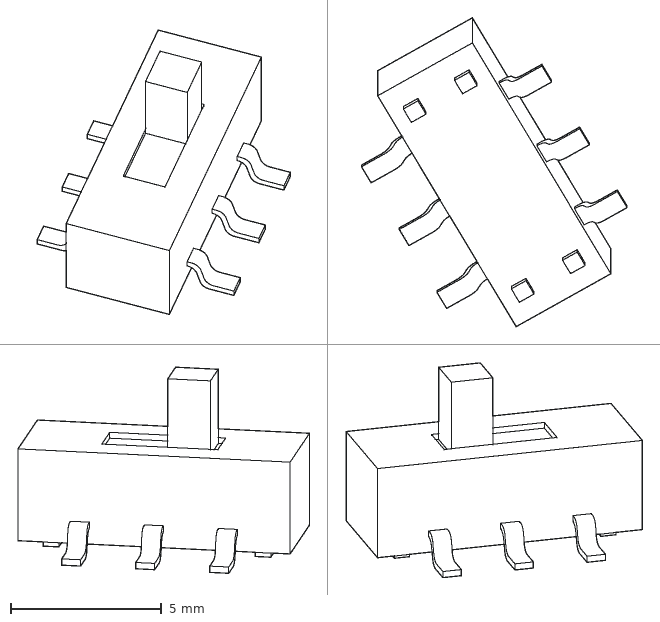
import cadquery as cq
import math


body_width = 3.63
body_length = 9.17
body_bottom = 0.3
body_top = 3.47

overall_height = 5.82
knob_width = 1.47
knob_length = 1.44
slot_length = 3.91
slot_depth = 0.2
knob_end_gap = 0.25
knob_y = slot_length / 2 - knob_end_gap - knob_length / 2

peg_width = 0.56
peg_length = 0.53
peg_spacing_x = 1.96
peg_spacing_y = 7.14

leg_span = 6.91
leg_width = 0.64
leg_pitch = 2.49
leg_rows = 3
leg_top = 1.06
leg_thickness = 0.2
foot_thickness = 0.22
bend_radius = 0.35
shoulder_x = 2.23
ankle_x = 2.485


def make_body():
    """Housing block with the travel slot cut into its top."""
    body = (
        cq.Workplane("XY")
        .workplane(offset=body_bottom)
        .rect(body_width, body_length)
        .extrude(body_top - body_bottom)
    )
    slot = (
        cq.Workplane("XY")
        .workplane(offset=body_top - slot_depth)
        .rect(knob_width, slot_length)
        .extrude(slot_depth)
    )
    return body.cut(slot)


def make_knob():
    """Knob rising from the slot floor, near the +Y end of its travel."""
    floor = body_top - slot_depth
    return (
        cq.Workplane("XY")
        .workplane(offset=floor)
        .center(0, knob_y)
        .rect(knob_width, knob_length)
        .extrude(overall_height - floor)
    )


def make_pegs():
    """Four rectangular pegs from the ground up to the housing."""
    return (
        cq.Workplane("XY")
        .rarray(peg_spacing_x, peg_spacing_y, 2, 2)
        .rect(peg_width, peg_length)
        .extrude(body_bottom)
    )


def make_leg():
    """One +X leg, centred on Y = 0: shelf, slope and foot joined by equal bends."""
    wall_x = body_width / 2
    tip_x = leg_span / 2
    slope_angle = math.atan2(leg_top - foot_thickness, ankle_x - shoulder_x)
    shelf_underside = leg_top - leg_thickness

    setback = bend_radius * math.tan(slope_angle / 2)
    setback_x = setback * math.cos(slope_angle)
    setback_z = setback * math.sin(slope_angle)

    def underside_x(z):
        """X of the slope's underside line at height z."""
        upper_x = shoulder_x + (leg_top - z) / math.tan(slope_angle)
        return upper_x - leg_thickness / math.sin(slope_angle)

    heel_x = underside_x(0)
    armpit_x = underside_x(shelf_underside)

    return (
        cq.Workplane("XZ")
        .moveTo(wall_x, leg_top)
        .lineTo(shoulder_x - setback, leg_top)
        .tangentArcPoint((shoulder_x + setback_x, leg_top - setback_z), relative=False)
        .lineTo(ankle_x - setback_x, foot_thickness + setback_z)
        .tangentArcPoint((ankle_x + setback, foot_thickness), relative=False)
        .lineTo(tip_x, foot_thickness)
        .lineTo(tip_x, 0)
        .lineTo(heel_x + setback, 0)
        .tangentArcPoint((heel_x - setback_x, setback_z), relative=False)
        .lineTo(armpit_x + setback_x, shelf_underside - setback_z)
        .tangentArcPoint((armpit_x - setback, shelf_underside), relative=False)
        .lineTo(wall_x, shelf_underside)
        .close()
        .extrude(leg_width / 2, both=True)
    )


result = make_body().union(make_knob()).union(make_pegs())

right_leg = make_leg()
left_leg = right_leg.mirror("YZ")
for row in range(leg_rows):
    row_y = (row - (leg_rows - 1) / 2) * leg_pitch
    for leg in (left_leg, right_leg):
        result = result.union(leg.translate((0, row_y, 0)))